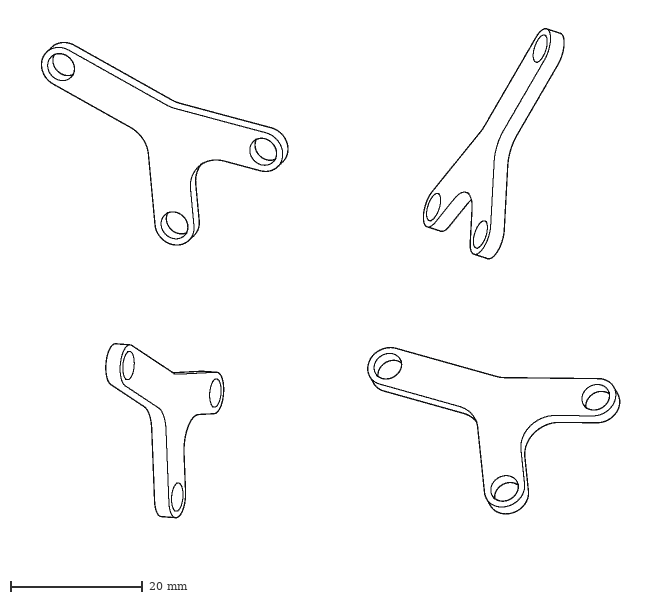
import cadquery as cq
import math

thickness = 2.4
arm_width = 6.35
hole_diameter = 4.32
crotch_radius = 4.76

hole_centers = [
    (-16.84, 7.36),
    (15.87, -2.28),
    (1.52, -16.0),
]

depth = -thickness


def make_arm(center):
    """Arm of constant width with round ends at the hub and at the hole centre."""
    x, z = center
    length = math.hypot(x, z)
    angle = math.degrees(math.atan2(z, x))
    return (
        cq.Workplane("XZ")
        .center(x / 2, z / 2)
        .slot2D(length + arm_width, arm_width, angle)
        .extrude(depth)
    )


def crotch_corner(first, second):
    """Point (X, Z) where the facing edges of two neighbouring arms meet."""
    first_angle = math.atan2(first[1], first[0])
    second_angle = math.atan2(second[1], second[0])
    gap = (second_angle - first_angle) % (2 * math.pi)
    bisector = first_angle + gap / 2
    reach = arm_width / 2 / math.sin(gap / 2)
    return reach * math.cos(bisector), reach * math.sin(bisector)


def fillet_crotch(body, corner):
    """Round the edge through the thickness that stands at the given corner."""
    x, z = corner
    nearest = cq.selectors.NearestToPointSelector((x, thickness / 2, z))
    return body.edges("|Y").edges(nearest).fillet(crotch_radius)


def cut_holes(body):
    """Drill a through hole at each arm end."""
    holes = (
        cq.Workplane("XZ")
        .pushPoints(hole_centers)
        .circle(hole_diameter / 2)
        .extrude(depth)
    )
    return body.cut(holes)


link = make_arm(hole_centers[0])
for hole_center in hole_centers[1:]:
    link = link.union(make_arm(hole_center))
link = link.clean()

for index, hole_center in enumerate(hole_centers):
    next_center = hole_centers[(index + 1) % len(hole_centers)]
    link = fillet_crotch(link, crotch_corner(next_center, hole_center))

result = cut_holes(link)